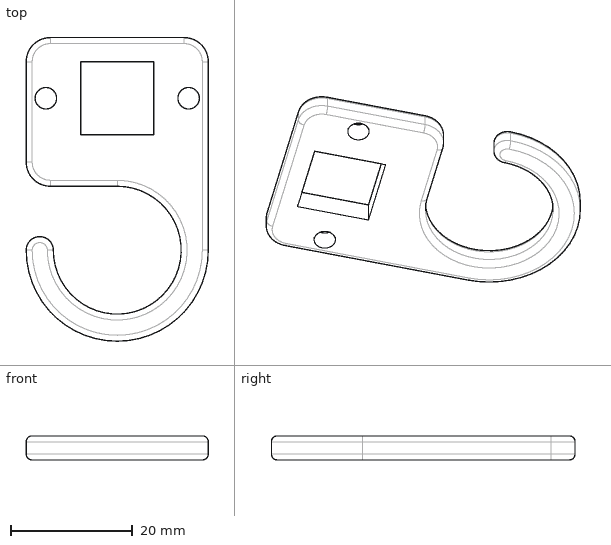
import cadquery as cq
import math

thickness = 4.0
hook_outer_radius = 15.0
hook_width = 4.5
plate_top = 35.0
corner_radius = 4.0
edge_fillet = 1.0

window_side = 12.0
window_margin = 4.0
hole_diameter = 3.5
hole_offset = 11.75

half_width = hook_outer_radius
hook_inner_radius = hook_outer_radius - hook_width
tip_radius = hook_width / 2
tip_center_x = -(hook_inner_radius + tip_radius)
plate_bottom = hook_inner_radius
opening_y = plate_top - window_margin - window_side / 2
diagonal = math.sqrt(0.5)
corner_inset = corner_radius * (1 - diagonal)
corner_x = half_width - corner_radius


def make_body():
    """Rounded plate running tangentially into an open hook."""
    outline = (
        cq.Workplane("XY")
        .moveTo(-corner_x, plate_top)
        .lineTo(corner_x, plate_top)
        .threePointArc(
            (half_width - corner_inset, plate_top - corner_inset),
            (half_width, plate_top - corner_radius),
        )
        .lineTo(half_width, 0)
        .threePointArc((0, -hook_outer_radius), (-hook_outer_radius, 0))
        .threePointArc((tip_center_x, tip_radius), (-hook_inner_radius, 0))
        .threePointArc(
            (hook_inner_radius * diagonal, -hook_inner_radius * diagonal),
            (0, hook_inner_radius),
        )
        .lineTo(-corner_x, plate_bottom)
        .threePointArc(
            (-half_width + corner_inset, plate_bottom + corner_inset),
            (-half_width, plate_bottom + corner_radius),
        )
        .lineTo(-half_width, plate_top - corner_radius)
        .threePointArc(
            (-half_width + corner_inset, plate_top - corner_inset),
            (-corner_x, plate_top),
        )
        .close()
    )
    return outline.extrude(thickness).faces("<Z or >Z").edges().fillet(edge_fillet)


def make_openings():
    """Square window and the two screw holes beside it."""
    window = cq.Workplane("XY").center(0, opening_y).rect(window_side, window_side).extrude(thickness)
    holes = (
        cq.Workplane("XY")
        .pushPoints([(side * hole_offset, opening_y) for side in (-1, 1)])
        .circle(hole_diameter / 2)
        .extrude(thickness)
    )
    return window.union(holes)


result = make_body().cut(make_openings())